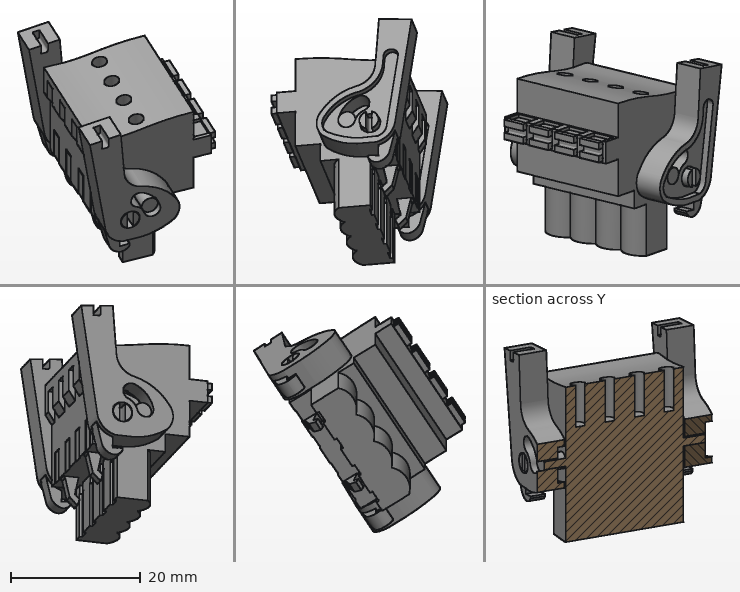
import cadquery as cq
import math


POLE_COUNT = 4
PITCH = 5.07
HOUSING_WIDTH = POLE_COUNT * PITCH
HALF_HOUSING = HOUSING_WIDTH / 2
POLE_CENTERS = [(i - (POLE_COUNT - 1) / 2) * PITCH for i in range(POLE_COUNT)]

BODY_BACK = 16.75
BODY_TOP = 26.25
BODY_BOTTOM = 11.25
STEP_BACK = 12.82
BODY_FRONT_TOP = 24.9
TOP_FLAT_BACK = 16.45
TOP_SLOPE_BACK = (9.8, 25.7)
TOP_SLOPE_FRONT = (7.08, 25.25)
TOP_FLAT_FRONT = 0.85
FRONT_RECESS = 1.02
OVERHANG_EDGE = 20.0
OVERHANG_ROOT = 18.43

PLUG_HEIGHT = 8.35
PLUG_FRONT = 4.98
PLUG_BACK = 11.05
SCALLOP_RISE = 1.08
PLUG_GROOVE_DEPTH = 0.42
PLUG_GROOVE_WIDTH = 1.8
PLUG_GROOVE_TOP = 7.0
PLUG_NECK_WIDTH = 1.32

WIRE_HOLE_DIAMETER = 2.35
WIRE_HOLE_Y = 8.23
WIRE_HOLE_DEPTH = 7.5
UPPER_SLOT_WIDTH = 2.1
UPPER_SLOT_TOP = 23.33
LOWER_SLOT_TOP = 13.33
LOWER_SLOT_WIDTH = 2.05
LOWER_SLOT_DEPTH = 0.12

HOOK_OFFSET = 5.75
HOOK_WIDTH = 1.5

LEDGE_BACK = 19.7
LEDGE_BOTTOM = 17.2
LEDGE_TOP = 20.75
BUTTON_WIDTH = 3.78
BUTTON_BACK = 20.62
BUTTON_FRONT = 17.17
HEAD_BOTTOM = 17.47
HEAD_TOP = 20.65
STEM_INSET = 0.45
STEM_BOTTOM = HEAD_BOTTOM + STEM_INSET
STEM_TOP = HEAD_TOP - STEM_INSET
NOTCH_HEIGHT = 1.02
NOTCH_FILLET = 0.12

HALF_WIDTH = 15.0
LEVER_WIDTH = 4.7
LEVER_INSET = 1.15
LEVER_SPACING = 2 * HALF_WIDTH - LEVER_WIDTH
LATCH_WIDTH = 2.52
PIVOT = (4.3, 12.25)
PIVOT_RADIUS = 1.5
PIVOT_CLEARANCE = 0.1
PIVOT_SLIT_WIDTH = 0.93
PIVOT_SLIT_DEPTH = 2.4
GUIDE_DIAMETER = 2.67
GUIDE_RADIUS = GUIDE_DIAMETER / 2
GUIDE_ORBIT = 3.8
GUIDE_ANGLE = 14.5
GUIDE_SWEEP = 53.0
LEVER_TOP = 29.5
LEVER_SLOT_BACK = 0.75
LEVER_SLOT_FRONT = -0.4
LEVER_SLOT_FLOOR = 27.62
LEVER_SLOT_FILLET = 0.42

CUT_REACH = 0.3


def box(x_range, y_range, z_range):
    """Box between two limits on each axis."""
    lows, highs = zip(x_range, y_range, z_range)
    sizes = [high - low for low, high in zip(lows, highs)]
    return cq.Workplane("XY").box(*sizes, centered=False).translate(lows)


def centered_box(x_center, width, y_range, z_range):
    """Box of a given width about an X position."""
    return box((x_center - width / 2, x_center + width / 2), y_range, z_range)


def yz_sketch(x):
    """Sketch plane at the given X, with Y and Z as its axes."""
    return cq.Workplane("YZ", origin=(x, 0, 0))


def orbit_point(radius, angle):
    """Point (Y, Z) at a distance and an angle in degrees about the lever pivot."""
    turn = math.radians(angle)
    return (PIVOT[0] + radius * math.cos(turn), PIVOT[1] + radius * math.sin(turn))


def housing_body():
    """Full-width body with its S-curved top and overhanging front."""
    return (
        yz_sketch(-HALF_HOUSING)
        .moveTo(BODY_BACK, BODY_BOTTOM)
        .lineTo(BODY_BACK, BODY_TOP)
        .lineTo(TOP_FLAT_BACK, BODY_TOP)
        .tangentArcPoint(TOP_SLOPE_BACK, relative=False)
        .lineTo(*TOP_SLOPE_FRONT)
        .tangentArcPoint((TOP_FLAT_FRONT, BODY_FRONT_TOP), relative=False)
        .lineTo(0, BODY_FRONT_TOP)
        .lineTo(0, OVERHANG_EDGE)
        .lineTo(FRONT_RECESS, OVERHANG_ROOT)
        .lineTo(FRONT_RECESS, PLUG_HEIGHT)
        .lineTo(STEP_BACK, PLUG_HEIGHT)
        .lineTo(STEP_BACK, BODY_BOTTOM)
        .close()
        .extrude(HOUSING_WIDTH)
    )


def plug():
    """Plug block with one rounded rib per pole down its back."""
    valley = PLUG_BACK - SCALLOP_RISE
    outline = (
        cq.Workplane("XY")
        .moveTo(HALF_HOUSING, PLUG_FRONT)
        .lineTo(-HALF_HOUSING, PLUG_FRONT)
        .lineTo(-HALF_HOUSING, valley)
    )
    for x in POLE_CENTERS:
        outline = outline.threePointArc((x, PLUG_BACK), (x + PITCH / 2, valley))
    return outline.close().extrude(PLUG_HEIGHT)


def plug_groove(x):
    """Keying groove down the plug front, narrower at its top."""
    depth = (PLUG_FRONT - CUT_REACH, PLUG_FRONT + PLUG_GROOVE_DEPTH)
    groove = centered_box(x, PLUG_GROOVE_WIDTH, depth, (0, PLUG_GROOVE_TOP))
    neck = centered_box(x, PLUG_NECK_WIDTH, depth, (0, PLUG_HEIGHT))
    return groove.union(neck)


def front_slots(x):
    """Upper and lower slots of one pole in the housing front."""
    upper_depth = (-CUT_REACH, FRONT_RECESS)
    lower_depth = (0, FRONT_RECESS + LOWER_SLOT_DEPTH)
    upper = centered_box(x, UPPER_SLOT_WIDTH, upper_depth, (OVERHANG_ROOT, UPPER_SLOT_TOP))
    lower = centered_box(x, LOWER_SLOT_WIDTH, lower_depth, (PLUG_HEIGHT, LOWER_SLOT_TOP))
    return upper.union(lower)


def wire_hole(x):
    """Blind vertical hole for the wire of one pole."""
    return (
        cq.Workplane("XY", origin=(x, WIRE_HOLE_Y, BODY_TOP - WIRE_HOLE_DEPTH))
        .circle(WIRE_HOLE_DIAMETER / 2)
        .extrude(WIRE_HOLE_DEPTH)
    )


def button_recess(x):
    """Recess in the ledge, open above and behind, that holds one button stem."""
    return centered_box(
        x, BUTTON_WIDTH, (BUTTON_FRONT, LEDGE_BACK + CUT_REACH), (STEM_BOTTOM, LEDGE_TOP + CUT_REACH)
    )


def snap_hook(x):
    """Hook that hangs from the housing underside."""
    return (
        yz_sketch(x - HOOK_WIDTH / 2)
        .moveTo(1.2, PLUG_HEIGHT)
        .lineTo(1.53, 8.02)
        .lineTo(2.25, 4.98)
        .lineTo(3.48, 3.75)
        .lineTo(3.9, 4.77)
        .lineTo(3.1, 5.55)
        .lineTo(3.7, PLUG_HEIGHT)
        .close()
        .extrude(HOOK_WIDTH)
    )


def lever_pins():
    """Slit pivot pin and plain guide pin on the -X side of the housing."""
    pivot_length = HALF_WIDTH - HALF_HOUSING
    guide_length = pivot_length - LEVER_INSET
    pivot = yz_sketch(-HALF_WIDTH).center(*PIVOT).circle(PIVOT_RADIUS).extrude(pivot_length)
    slit_half = PIVOT_SLIT_WIDTH / 2
    slit_floor = -HALF_WIDTH + PIVOT_SLIT_DEPTH
    slit = (
        cq.Workplane("XY", origin=(0, PIVOT[0], PIVOT[1] - PIVOT_RADIUS))
        .moveTo(-HALF_WIDTH, -slit_half)
        .lineTo(slit_floor - slit_half, -slit_half)
        .threePointArc((slit_floor, 0), (slit_floor - slit_half, slit_half))
        .lineTo(-HALF_WIDTH, slit_half)
        .close()
        .extrude(2 * PIVOT_RADIUS)
    )
    guide = (
        yz_sketch(-HALF_HOUSING - guide_length)
        .center(*orbit_point(GUIDE_ORBIT, GUIDE_ANGLE))
        .circle(GUIDE_RADIUS)
        .extrude(guide_length)
    )
    return pivot.cut(slit).union(guide)


def make_housing():
    """Body, plug and ledge in one piece, with hooks and lever pins."""
    ledge = box(
        (-HALF_HOUSING, HALF_HOUSING), (BODY_BACK, LEDGE_BACK), (LEDGE_BOTTOM, LEDGE_TOP)
    )
    housing = housing_body().union(plug()).union(ledge)
    for x in POLE_CENTERS:
        housing = housing.cut(plug_groove(x))
        housing = housing.cut(front_slots(x))
        housing = housing.cut(wire_hole(x))
        housing = housing.cut(button_recess(x))
    for x in (-HOOK_OFFSET, HOOK_OFFSET):
        housing = housing.union(snap_hook(x))
    pins = lever_pins()
    return housing.union(pins).union(pins.mirror("YZ"))


def make_button(x):
    """Push button: a stem in the ledge recess and a taller notched head behind it."""
    stem = centered_box(x, BUTTON_WIDTH, (BUTTON_FRONT, LEDGE_BACK), (STEM_BOTTOM, STEM_TOP))
    head = centered_box(x, BUTTON_WIDTH, (LEDGE_BACK, BUTTON_BACK), (HEAD_BOTTOM, HEAD_TOP))
    middle = (HEAD_BOTTOM + HEAD_TOP) / 2
    notch_heights = (middle - NOTCH_HEIGHT / 2, middle + NOTCH_HEIGHT / 2)
    notch = centered_box(x, BUTTON_WIDTH, (LEDGE_BACK, BUTTON_BACK), notch_heights)
    notch = notch.edges("|X and <Y").fillet(NOTCH_FILLET)
    return stem.union(head.cut(notch))


def lever_plate():
    """Lever outline at full width, from the cam at its foot to the handle tip."""
    return (
        yz_sketch(-HALF_WIDTH)
        .moveTo(-2.4, 28.97)
        .lineTo(2.73, LEVER_TOP)
        .lineTo(3.3, 21.6)
        .tangentArcPoint((6.35, 18.22), relative=False)
        .threePointArc((9.85, 16.48), (11.9, 14.23))
        .threePointArc((12.5, 12.15), (11.6, 10.27))
        .threePointArc((9.0, 8.92), (6.15, PLUG_HEIGHT))
        .lineTo(3.1, PLUG_HEIGHT)
        .threePointArc((1.32, 9.3), (0.2, 11.35))
        .close()
        .extrude(LEVER_WIDTH)
    )


def lever_pocket():
    """Pocket in the lever's -X face that leaves a rim all round."""
    return (
        yz_sketch(-HALF_WIDTH)
        .moveTo(-0.3, 23.0)
        .threePointArc((0.85, 24.1), (2.0, 23.1))
        .lineTo(2.13, 21.6)
        .threePointArc((3.18, 19.0), (6.4, 17.15))
        .threePointArc((9.28, 15.73), (11.35, 13.35))
        .threePointArc((11.65, 12.15), (10.7, 10.7))
        .threePointArc((7.87, 9.65), (5.7, 9.28))
        .lineTo(2.9, 9.37)
        .threePointArc((1.95, 10.0), (1.47, 11.2))
        .close()
        .extrude(LEVER_INSET)
    )


def guide_slot():
    """Through slot along an arc about the pivot, with the guide pin at one end."""
    inner = GUIDE_ORBIT - GUIDE_RADIUS
    outer = GUIDE_ORBIT + GUIDE_RADIUS
    start = GUIDE_ANGLE
    end = GUIDE_ANGLE + GUIDE_SWEEP
    middle = (start + end) / 2
    path = (
        yz_sketch(-HALF_WIDTH)
        .moveTo(*orbit_point(outer, start))
        .threePointArc(orbit_point(outer, middle), orbit_point(outer, end))
        .lineTo(*orbit_point(inner, end))
        .threePointArc(orbit_point(inner, middle), orbit_point(inner, start))
        .close()
        .extrude(LEVER_WIDTH)
    )
    for angle in (start, end):
        center = orbit_point(GUIDE_ORBIT, angle)
        path = path.union(
            yz_sketch(-HALF_WIDTH).center(*center).circle(GUIDE_RADIUS).extrude(LEVER_WIDTH)
        )
    return path


def latch():
    """Spring latch that hooks back under the foot of the lever."""
    return (
        yz_sketch(-HALF_WIDTH + LEVER_INSET)
        .moveTo(0.4, 10.63)
        .lineTo(1.32, 6.87)
        .threePointArc((2.05, 5.95), (3.0, 5.5))
        .threePointArc((3.95, 5.67), (4.65, 6.35))
        .lineTo(4.62, 6.7)
        .lineTo(3.0, 6.57)
        .lineTo(3.0, 10.63)
        .close()
        .extrude(LATCH_WIDTH)
    )


def handle_slot():
    """Slot down into the handle tip, open on the +X side and rounded along its rear floor edge."""
    return (
        box(
            (-HALF_WIDTH + LEVER_INSET, -HALF_WIDTH + LEVER_WIDTH + CUT_REACH),
            (LEVER_SLOT_FRONT, LEVER_SLOT_BACK),
            (LEVER_SLOT_FLOOR, LEVER_TOP),
        )
        .edges("|X and <Z and >Y")
        .fillet(LEVER_SLOT_FILLET)
    )


def make_lever(x_shift):
    """Lever with its pocket, latch and openings, moved along X to its end of the housing."""
    hole_radius = PIVOT_RADIUS + PIVOT_CLEARANCE
    pivot_hole = yz_sketch(-HALF_WIDTH).center(*PIVOT).circle(hole_radius).extrude(LEVER_WIDTH)
    lever = lever_plate().cut(lever_pocket()).union(latch())
    lever = lever.cut(guide_slot()).cut(pivot_hole).cut(handle_slot())
    return lever.translate((x_shift, 0, 0))


housing = make_housing()
buttons = [make_button(x) for x in POLE_CENTERS]
levers = [make_lever(x_shift) for x_shift in (0, LEVER_SPACING)]

result = cq.Compound.makeCompound([body.val() for body in [housing, *buttons, *levers]])